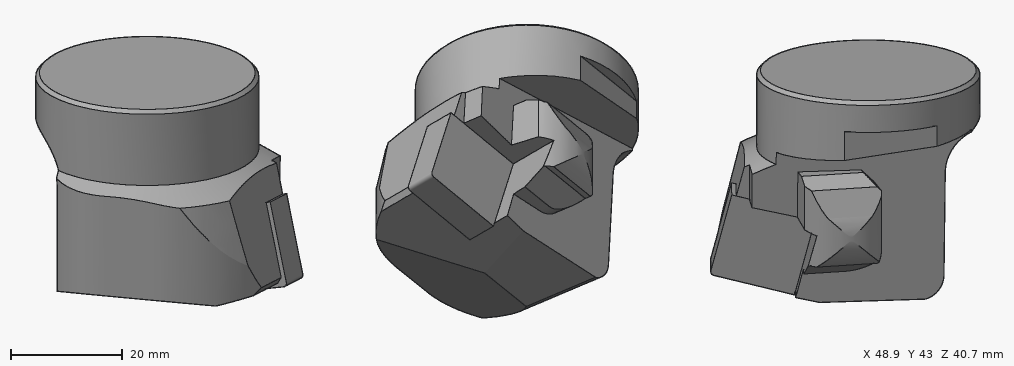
import cadquery as cq
import math

HEIGHT = 40.65
FAR = 97.75

HEAD_RADIUS = 20.0
HEAD_BASE = 26.45
HEAD_CHAMFER = 0.7

SHANK_LEFT = -11.75
SHANK_FRONT = -23.0
LEFT_CORNER_Y = -18.2
FLAT_START = -1.5
FLAT_END = 7.7
SHOULDER_ANGLE = 24.5
SHOULDER_RADIUS = 25.6
SKIRT_ANGLE = 11.0

UNDERCUT_RADIUS = 8.45
UNDERCUT_CENTER_Z = 23.9
BOTTOM_ROUND_RADIUS = 4.7
BOTTOM_ROUND_START = 4.45

FRONT_RELIEF_Y = -6.3
FRONT_RELIEF_ANGLE = 20.0

BACK_POINT = (SHANK_LEFT, 10.65, 24.9)
BACK_YAW = 6.4
BACK_TILT = 3.0
CEILING_Z = 30.35
CEILING_ANGLE = 5.2
REAR_STEP_Y = 18.1
REAR_STEP_Z = 34.95

BOSS_LEFT = 1.0
BOSS_SHOULDER_Y = 15.15
BOSS_CREST = (6.85, 17.55)
BOSS_RIGHT = (14.65, 13.2)
BOSS_ROOT_Y = 4.9
BOSS_TOP = 24.87
BOSS_BOTTOM = 6.4
BOSS_TOP_CORNER_Y = 10.6
BOSS_UPPER_EDGE = (14.5, 23.2)
BOSS_CREST_TOP = (16.55, 18.4)
BOSS_CREST_Z = 15.1
BOSS_LOWER_EDGE = (15.3, 9.2)
BOSS_LOWER_FLAT_Y = 14.15
BOSS_BOTTOM_CORNER_Y = 9.75
BOSS_SIDE_TOP = 22.55
BOSS_SIDE_BOTTOM = 11.95

INSERT_YAW = 11.5
INSERT_TILT = 14.5
INSERT_ROLL = 3.7
INSERT_SIDE = 15.65
INSERT_THICKNESS = 6.35
INSERT_NOSE_RADIUS = 0.75
INSERT_END = 28.7
INSERT_BOTTOM = 2.45
INSERT_RAKE = 5.85
END_FLAT = 27.85
BOTTOM_FLAT = 1.65
NOSE_RELIEF = 1.0

GULLET_POINT = (22.8, 6.75, 0)
GULLET_YAW = 6.0


def insert_plane():
    """Plane with X out of the end, Y out of the bottom and Z out of the rake face."""
    yaw, tilt, roll = (math.radians(a) for a in (INSERT_YAW, INSERT_TILT, INSERT_ROLL))
    end = cq.Vector(math.cos(tilt) * math.cos(yaw), -math.cos(tilt) * math.sin(yaw), math.sin(tilt))
    level = cq.Vector(math.sin(yaw), math.cos(yaw), 0)
    down = end.cross(level) * -1
    rake = level * math.cos(roll) + down * math.sin(roll)
    return cq.Plane(origin=(0, 0, 0), xDir=end, normal=rake)


INSERT_PLANE = insert_plane()


def beyond(point, normal):
    """Block that fills the space on the normal's side of a plane."""
    return cq.Workplane(cq.Plane(origin=point, normal=normal)).rect(FAR, FAR).extrude(FAR)


def insert_block(x_range, y_range, z_range):
    """Block along the insert axes, given the limits on each axis."""
    sizes = [high - low for low, high in (x_range, y_range, z_range)]
    return (
        cq.Workplane(INSERT_PLANE)
        .transformed(offset=(x_range[0], y_range[0], z_range[0]))
        .box(*sizes, centered=False)
    )


def make_head():
    return (
        cq.Workplane("XY").workplane(offset=HEAD_BASE)
        .circle(HEAD_RADIUS).extrude(HEIGHT - HEAD_BASE)
        .faces(">Z").edges().chamfer(HEAD_CHAMFER)
    )


def make_shank():
    left_rise = LEFT_CORNER_Y - SHANK_FRONT
    left_run = FLAT_START - SHANK_LEFT
    left_radius = (left_run**2 + left_rise**2) / (2 * left_rise)
    left_x = FLAT_START - left_radius
    left_y = SHANK_FRONT + left_radius
    left_diagonal = left_radius * math.sqrt(0.5)
    right_x = FLAT_END + HEAD_RADIUS
    right_y = SHANK_FRONT + HEAD_RADIUS
    diagonal = HEAD_RADIUS * math.sqrt(0.5)
    block = (
        cq.Workplane("XY")
        .moveTo(left_x, HEAD_RADIUS)
        .lineTo(left_x, left_y)
        .threePointArc((FLAT_START - left_diagonal, left_y - left_diagonal), (FLAT_START, SHANK_FRONT))
        .lineTo(FLAT_END, SHANK_FRONT)
        .threePointArc((FLAT_END + diagonal, right_y - diagonal), (right_x, right_y))
        .lineTo(right_x, HEAD_RADIUS)
        .close().extrude(HEAD_BASE)
    )
    shoulder_z = HEAD_BASE - (SHOULDER_RADIUS - HEAD_RADIUS) * math.tan(math.radians(SHOULDER_ANGLE))
    skirt_radius = SHOULDER_RADIUS + shoulder_z * math.tan(math.radians(SKIRT_ANGLE))
    shoulder = (
        cq.Workplane("XZ")
        .moveTo(0, 0)
        .lineTo(skirt_radius, 0)
        .lineTo(SHOULDER_RADIUS, shoulder_z)
        .lineTo(HEAD_RADIUS, HEAD_BASE)
        .lineTo(0, HEAD_BASE)
        .close().revolve(360, (0, 0), (0, 1))
    )
    return block.intersect(shoulder)


def left_undercut():
    center_x = SHANK_LEFT - UNDERCUT_RADIUS
    diagonal = UNDERCUT_RADIUS * math.sqrt(0.5)
    top_z = UNDERCUT_CENTER_Z + UNDERCUT_RADIUS
    return (
        cq.Workplane("XZ")
        .moveTo(SHANK_LEFT, 0)
        .lineTo(SHANK_LEFT, UNDERCUT_CENTER_Z)
        .threePointArc((center_x + diagonal, UNDERCUT_CENTER_Z + diagonal), (center_x, top_z))
        .lineTo(-FAR, top_z).lineTo(-FAR, 0)
        .close().extrude(FAR / 2, both=True)
    )


def bottom_round():
    """Waste outside the round along the lower left edge."""
    center_x = SHANK_LEFT + BOTTOM_ROUND_RADIUS
    sweep = math.asin(BOTTOM_ROUND_START / BOTTOM_ROUND_RADIUS)
    end_x = center_x - BOTTOM_ROUND_RADIUS * math.cos(sweep)
    middle = (
        center_x - BOTTOM_ROUND_RADIUS * math.cos(sweep / 2),
        BOTTOM_ROUND_START - BOTTOM_ROUND_RADIUS * math.sin(sweep / 2),
    )
    return (
        cq.Workplane("XZ")
        .moveTo(SHANK_LEFT, BOTTOM_ROUND_START)
        .threePointArc(middle, (end_x, 0))
        .lineTo(SHANK_LEFT, 0)
        .close().extrude(FAR / 2, both=True)
    )


def front_relief():
    angle = math.radians(FRONT_RELIEF_ANGLE)
    return beyond((0, FRONT_RELIEF_Y, 0), (0, -math.sin(angle), -math.cos(angle)))


def rear_space():
    yaw = math.radians(BACK_YAW)
    slope = math.radians(CEILING_ANGLE)
    back = beyond(BACK_POINT, (math.sin(yaw), math.cos(yaw), -math.tan(math.radians(BACK_TILT))))
    under_ceiling = beyond((0, 0, CEILING_Z), (-math.sin(slope), 0, -math.cos(slope)))
    return back.intersect(under_ceiling)


def rear_step():
    block = cq.Workplane("XY").box(FAR, FAR, REAR_STEP_Z, centered=(True, False, False))
    return block.translate((0, REAR_STEP_Y, 0))


def rear_boss():
    """Boss with a bulging plan outline and a faceted profile in Y and Z."""
    plan = (
        cq.Workplane("XY")
        .moveTo(BOSS_LEFT, BOSS_ROOT_Y)
        .lineTo(BOSS_LEFT, BOSS_SHOULDER_Y)
        .threePointArc(BOSS_CREST, BOSS_RIGHT)
        .lineTo(BOSS_RIGHT[0], BOSS_ROOT_Y)
        .close().extrude(HEAD_BASE)
    )
    profile = (
        cq.Workplane("YZ")
        .moveTo(BOSS_ROOT_Y, BOSS_TOP)
        .lineTo(BOSS_TOP_CORNER_Y, BOSS_TOP)
        .lineTo(*BOSS_UPPER_EDGE)
        .lineTo(*BOSS_CREST_TOP)
        .threePointArc((BOSS_CREST[1], BOSS_CREST_Z), BOSS_LOWER_EDGE)
        .lineTo(BOSS_LOWER_FLAT_Y, BOSS_LOWER_EDGE[1])
        .lineTo(BOSS_BOTTOM_CORNER_Y, BOSS_BOTTOM)
        .lineTo(BOSS_ROOT_Y, BOSS_BOTTOM)
        .close().extrude(FAR)
    )
    bevel = BOSS_TOP - BOSS_SIDE_TOP
    bottom_radius = BOSS_SIDE_BOTTOM - BOSS_BOTTOM
    inset = bottom_radius * (1 - math.sqrt(0.5))
    side = (
        cq.Workplane("XZ")
        .moveTo(BOSS_LEFT + bevel, BOSS_TOP)
        .lineTo(BOSS_LEFT, BOSS_SIDE_TOP)
        .lineTo(BOSS_LEFT, BOSS_SIDE_BOTTOM)
        .threePointArc(
            (BOSS_LEFT + inset, BOSS_BOTTOM + inset), (BOSS_LEFT + bottom_radius, BOSS_BOTTOM)
        )
        .lineTo(BOSS_RIGHT[0], BOSS_BOTTOM)
        .lineTo(BOSS_RIGHT[0], BOSS_TOP)
        .close().extrude(-FAR)
    )
    return plan.intersect(profile).intersect(side)


def insert_flats():
    """Waste beyond the end flat, the bottom flat and the relief between them."""
    whole = (-FAR, FAR)
    end = insert_block((END_FLAT, FAR), whole, whole)
    bottom = insert_block(whole, (BOTTOM_FLAT, FAR), whole)
    relief = (
        cq.Workplane(INSERT_PLANE)
        .moveTo(END_FLAT - NOSE_RELIEF, BOTTOM_FLAT)
        .lineTo(END_FLAT, BOTTOM_FLAT - NOSE_RELIEF)
        .lineTo(END_FLAT, BOTTOM_FLAT)
        .close().extrude(FAR, both=True)
    )
    return [end, bottom, relief]


def insert_seat():
    """Seat of the insert and the open space on its rake side."""
    return insert_block(
        (INSERT_END - INSERT_SIDE, FAR),
        (INSERT_BOTTOM - INSERT_SIDE, FAR),
        (INSERT_RAKE - INSERT_THICKNESS, FAR),
    )


def chip_gullet():
    yaw = math.radians(GULLET_YAW)
    wall = beyond(GULLET_POINT, (math.cos(yaw), -math.sin(yaw), 0))
    return wall.intersect(insert_block((0, FAR), (-FAR, FAR), (INSERT_RAKE, FAR)))


def make_holder():
    shank = make_shank()
    for waste in insert_flats() + [insert_seat(), chip_gullet()]:
        shank = shank.cut(waste)
    holder = shank.union(make_head()).cut(rear_space()).cut(rear_step())
    boss = rear_boss().cut(insert_seat())
    holder = holder.union(boss)
    for waste in (left_undercut(), bottom_round(), front_relief()):
        holder = holder.cut(waste)
    return holder


def make_insert():
    plate = insert_block(
        (INSERT_END - INSERT_SIDE, INSERT_END),
        (INSERT_BOTTOM - INSERT_SIDE, INSERT_BOTTOM),
        (INSERT_RAKE - INSERT_THICKNESS, INSERT_RAKE),
    )
    nose = cq.NearestToPointSelector(
        INSERT_PLANE.toWorldCoords((INSERT_END, INSERT_BOTTOM, INSERT_RAKE - INSERT_THICKNESS / 2))
    )
    return plate.edges(nose).fillet(INSERT_NOSE_RADIUS)


holder = make_holder()
insert = make_insert()
result = cq.Compound.makeCompound([*holder.solids().vals(), insert.val()])